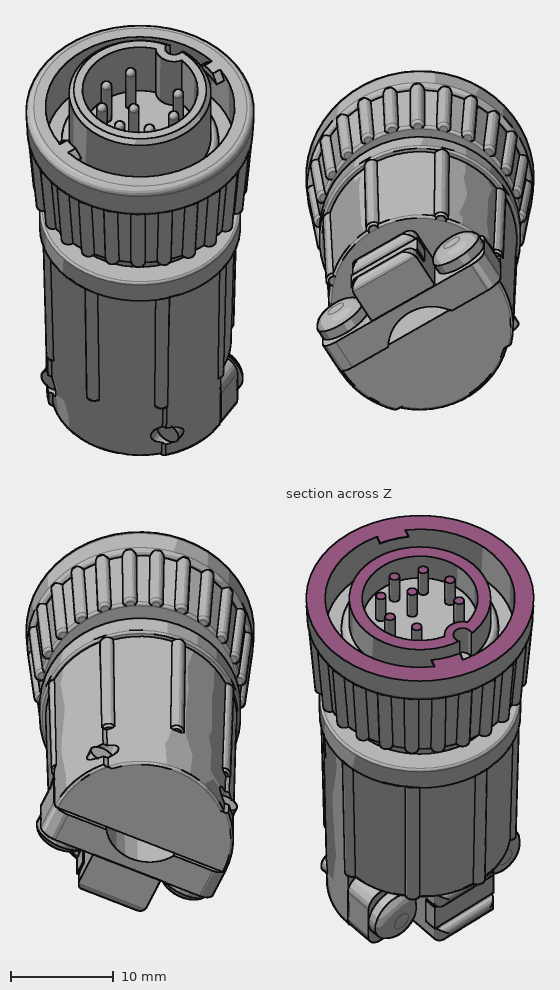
import cadquery as cq
import math

OVERLAP = 0.3

TOP_Z = 43.97
RING_TOP_Z = 41.5
RING_BAND_Z = 37.7
RING_BOTTOM_Z = 29.55
RING_FLOOR_Z = 36.2
SHOULDER_Z = 37.3
PIN_TIP_Z = TOP_Z - 1.15
SOCKET_FLOOR_Z = TOP_Z - 6.3
FLANGE_TOP_Z = 26.75
FLANGE_BOTTOM_Z = 24.05
RIB_END_Z = 7.65
BODY_BOTTOM_Z = 0.55

TUBE_R = 6.9
TUBE_CHAMFER = 0.45
SOCKET_R = 5.6
KEY_CENTER_Y = 6.4
KEY_GROOVE_R = 0.87
KEY_WALL_R = 1.78
PIN_R = 0.5
PIN_CIRCLE_R = 3.82
PIN_ANGLES = (0, 45, 135, 180, 225, 270, 315)
INNER_PIN_Y = -1.17
DIMPLE_R = 0.27
DIMPLE_X = 2.0
DIMPLE_Y = 4.33

RING_R = 11.13
RING_BAND_R = 10.95
RING_BOTTOM_R = 10.34
RING_FILLET = 0.72
BAND_FILLET = 0.55
RING_BORE_R = 9.2
GRIP_COUNT = 24
GRIP_R = 0.7
GRIP_HEIGHT = 0.6
GRIP_END_FILLET = 0.3
TAB_R = 8.3
TAB_THICKNESS = 0.8
TAB_START = 58.3
TAB_END = 76.7
TAB_RAMP = 5.0

NECK_R = 7.65
NECK_FILLET = 0.73
FLANGE_R = 9.78
FLANGE_FILLET = 0.24
BODY_TOP_R = 9.2
BODY_BOTTOM_R = 8.72
BODY_FILLET = 0.25
SADDLE_TOP_R = 9.42
SADDLE_BOTTOM_R = 9.07
SADDLE_FRONT_Y = -6.18
RIB_COUNT = 8
RIB_R = 0.75
RIB_TOP_R = 9.68
RIB_BOTTOM_R = 9.36
RIB_END_CHAMFER = 0.25

CLAMP_WIDTH = 18.4
CLAMP_HEIGHT = 6.85
CLAMP_CORNER_R = 1.5
CLAMP_DEPTH = 3.1
SCOOP_HALF_WIDTH = 3.6
SCOOP_DEPTH = 2.0
SCREW_X = 6.6
SCREW_Z = 3.5
SCREW_R = 1.2
SCREW_TIP_Y = -5.68
HEAD_R = 2.6
HEAD_HEIGHT = 1.85
HEAD_RIM = 1.0
HEAD_TOP_R = 0.9
PRESS_WIDTH = 7.2
PRESS_HEIGHT = 6.4
PRESS_Z = 3.3
PRESS_BACK_Y = 6.3
PRESS_CORNER_R = 1.1
LIP_R = 0.8
LIP_FILLET = 0.76
LIP_BACK_Y = 7.45
RIDGE_WIDTH = 7.5
RIDGE_HEIGHT = 3.0
RIDGE_FRONT_Y = 5.25
RIDGE_BACK_Y = 6.65


def disc(radius, z_low, z_high):
    return cq.Workplane("XY").workplane(offset=z_low).circle(radius).extrude(z_high - z_low)


def cone(low_radius, high_radius, z_low, z_high):
    profile = [(0, z_low), (low_radius, z_low), (high_radius, z_high), (0, z_high)]
    return cq.Workplane("XZ").polyline(profile).close().revolve(360, (0, 0, 0), (0, 1, 0))


def block(x_low, x_high, y_low, y_high, z_low, z_high):
    box = cq.Workplane("XY").box(x_high - x_low, y_high - y_low, z_high - z_low, centered=False)
    return box.translate((x_low, y_low, z_low))


def rod_along_y(radius, x, z, y_low, y_high):
    rod = cq.Solid.makeCylinder(radius, y_high - y_low, cq.Vector(x, y_low, z), cq.Vector(0, 1, 0))
    return cq.Workplane(obj=rod)


def leaning_rod(radius, low_distance, high_distance, z_low, z_high):
    """A round rod in the XZ plane that leans along a tapered surface."""
    start = cq.Vector(low_distance, 0, z_low)
    axis = cq.Vector(high_distance, 0, z_high) - start
    return cq.Workplane(obj=cq.Solid.makeCylinder(radius, axis.Length, start, axis))


def add_around(base, piece, count):
    for index in range(count):
        base = base.union(piece.rotate((0, 0, 0), (0, 0, 1), index * 360 / count))
    return base


def make_plug():
    """Keyed tube on the neck, with pins standing on the socket floor."""
    neck = disc(NECK_R, FLANGE_TOP_Z - OVERLAP, SHOULDER_Z)
    neck = neck.faces(">Z").edges().fillet(NECK_FILLET)
    tube = disc(TUBE_R, SHOULDER_Z - OVERLAP, TOP_Z).faces(">Z").edges().chamfer(TUBE_CHAMFER)
    plug = neck.union(tube)

    socket = disc(SOCKET_R, SOCKET_FLOOR_Z, TOP_Z)
    key_wall = disc(KEY_WALL_R, SOCKET_FLOOR_Z, TOP_Z).translate((0, KEY_CENTER_Y, 0))
    key_groove = disc(KEY_GROOVE_R, SHOULDER_Z, TOP_Z).translate((0, KEY_CENTER_Y, 0))
    plug = plug.cut(socket.cut(key_wall)).cut(key_groove)

    dimple = cq.Workplane("XY").sphere(DIMPLE_R).translate((DIMPLE_X, DIMPLE_Y, SOCKET_FLOOR_Z))
    plug = plug.cut(dimple)

    pin = disc(PIN_R, SOCKET_FLOOR_Z - OVERLAP, PIN_TIP_Z - PIN_R)
    pin = pin.union(cq.Workplane("XY").sphere(PIN_R).translate((0, 0, PIN_TIP_Z - PIN_R)))
    plug = plug.union(pin.translate((0, INNER_PIN_Y, 0)))
    for angle in PIN_ANGLES:
        placed = pin.translate((PIN_CIRCLE_R, 0, 0)).rotate((0, 0, 0), (0, 0, 1), angle)
        plug = plug.union(placed)
    return plug


def make_tab():
    """Bayonet tab inside the ring mouth, with a ramp at each end."""
    arc_length = RING_BORE_R * math.radians(TAB_END - TAB_START)
    ramp_length = RING_BORE_R * math.radians(TAB_RAMP)
    half = arc_length / 2
    low_z = RING_TOP_Z - TAB_THICKNESS
    outline = [
        (-half, low_z),
        (half, low_z),
        (half - ramp_length, RING_TOP_Z),
        (ramp_length - half, RING_TOP_Z),
    ]
    ramped = cq.Workplane("XZ").polyline(outline).close().extrude(-(RING_BORE_R + OVERLAP))
    band = disc(RING_BORE_R + OVERLAP, low_z, RING_TOP_Z).cut(disc(TAB_R, low_z, RING_TOP_Z))
    middle_angle = (TAB_START + TAB_END) / 2
    return band.intersect(ramped).rotate((0, 0, 0), (0, 0, 1), middle_angle - 90)


def make_ring():
    """Coupling ring: tapered band above a tapered grip, open at the top."""
    band = cone(RING_BAND_R, RING_R, RING_BAND_Z, RING_TOP_Z)
    band = band.faces(">Z").edges().fillet(RING_FILLET)
    band = band.faces("<Z").edges().fillet(BAND_FILLET)

    grip_low_r = RING_BOTTOM_R - GRIP_HEIGHT
    grip_high_r = RING_BAND_R - GRIP_HEIGHT
    core = cone(grip_low_r, grip_high_r, RING_BOTTOM_Z, RING_BAND_Z + OVERLAP)
    ring = band.union(core.faces("<Z").edges().fillet(GRIP_END_FILLET))
    grip = leaning_rod(
        GRIP_R, RING_BOTTOM_R - GRIP_R, RING_BAND_R - GRIP_R, RING_BOTTOM_Z, RING_BAND_Z + OVERLAP
    )
    grip = grip.faces("<Z").edges().fillet(GRIP_END_FILLET)
    ring = add_around(ring, grip, GRIP_COUNT)
    ring = ring.cut(disc(RING_BORE_R, RING_FLOOR_Z, RING_TOP_Z))
    return add_around(ring, make_tab(), 2)


def make_body():
    """Tapered, ribbed body with its lower rear half cut away for the clamp."""
    flange = disc(FLANGE_R, FLANGE_BOTTOM_Z, FLANGE_TOP_Z).edges().fillet(FLANGE_FILLET)
    joint_z = FLANGE_BOTTOM_Z + OVERLAP

    core = cone(BODY_BOTTOM_R, BODY_TOP_R, BODY_BOTTOM_Z, joint_z)
    core = core.faces("<Z").edges().fillet(BODY_FILLET)
    saddle = cone(SADDLE_BOTTOM_R, SADDLE_TOP_R, BODY_BOTTOM_Z, joint_z)
    saddle = saddle.faces("<Z").edges().fillet(BODY_FILLET)
    strip = block(-RING_R, RING_R, SADDLE_FRONT_Y, 0, BODY_BOTTOM_Z, joint_z)
    rear_space = block(-RING_R, RING_R, 0, RING_R, 0, joint_z)
    body = core.union(saddle.intersect(strip)).cut(rear_space)

    taper = (BODY_TOP_R - BODY_BOTTOM_R) / (joint_z - BODY_BOTTOM_Z)
    rear_low_r = BODY_BOTTOM_R + taper * (RIB_END_Z - BODY_BOTTOM_Z)
    rear = cone(rear_low_r, BODY_TOP_R, RIB_END_Z, joint_z)
    rear = rear.faces("<Z").edges().fillet(BODY_FILLET)
    body = body.union(rear.intersect(rear_space))

    rib = leaning_rod(RIB_R, RIB_BOTTOM_R - RIB_R, RIB_TOP_R - RIB_R, RIB_END_Z, joint_z)
    rib = rib.faces("<Z").edges().chamfer(RIB_END_CHAMFER)
    return add_around(body, rib, RIB_COUNT).union(flange)


def make_screw_head():
    """Domed screw head behind the clamp block."""
    bow = math.sqrt(0.5)
    dome_mid = (
        HEAD_TOP_R + (HEAD_R - HEAD_TOP_R) * bow,
        HEAD_RIM + (HEAD_HEIGHT - HEAD_RIM) * bow,
    )
    profile = (
        cq.Workplane("XY")
        .moveTo(0, -OVERLAP)
        .lineTo(HEAD_R, -OVERLAP)
        .lineTo(HEAD_R, HEAD_RIM)
        .threePointArc(dome_mid, (HEAD_TOP_R, HEAD_HEIGHT))
        .lineTo(0, HEAD_HEIGHT)
        .close()
    )
    return profile.revolve(360, (0, 0, 0), (0, 1, 0)).translate((0, CLAMP_DEPTH, SCREW_Z))


def make_press():
    """Cable press behind the clamp: two rounded lips with a cross ridge between them."""
    half_width = PRESS_WIDTH / 2
    half_height = PRESS_HEIGHT / 2
    front_y = CLAMP_DEPTH - OVERLAP
    press = block(-half_width, half_width, front_y, PRESS_BACK_Y, -half_height, half_height)
    for side in (-1, 1):
        lip_z = side * (half_height - LIP_R)
        lip = block(-half_width, half_width, front_y, LIP_BACK_Y, lip_z - LIP_R, lip_z + LIP_R)
        press = press.union(lip.edges("|X and >Y").fillet(LIP_FILLET))

    rounded = block(-half_width, half_width, front_y, LIP_BACK_Y, -half_height, half_height)
    rounded = rounded.edges("|Z and >Y").fillet(PRESS_CORNER_R)
    press = press.intersect(rounded)

    ridge_x = RIDGE_WIDTH / 2
    ridge_z = RIDGE_HEIGHT / 2
    ridge = block(-ridge_x, ridge_x, RIDGE_FRONT_Y, RIDGE_BACK_Y, -ridge_z, ridge_z)
    return press.union(ridge).translate((0, 0, PRESS_Z))


def make_clamp():
    """Clamp block scooped on its front, with screw heads and a cable press behind."""
    half_width = CLAMP_WIDTH / 2
    clamp = block(-half_width, half_width, 0, CLAMP_DEPTH, 0, CLAMP_HEIGHT)
    clamp = clamp.edges("|Y").fillet(CLAMP_CORNER_R)
    scoop_r = (SCOOP_HALF_WIDTH**2 + SCOOP_DEPTH**2) / (2 * SCOOP_DEPTH)
    clamp = clamp.cut(disc(scoop_r, 0, CLAMP_HEIGHT).translate((0, SCOOP_DEPTH - scoop_r, 0)))
    for side in (-1, 1):
        clamp = clamp.union(make_screw_head().translate((side * SCREW_X, 0, 0)))
    return clamp.union(make_press())


def add_screw_tips(part):
    """Flat screw tips: sunk on their inner side, proud on their outer side."""
    for side in (-1, 1):
        x = side * SCREW_X
        part = part.cut(rod_along_y(SCREW_R, x, SCREW_Z, -RING_R, SCREW_TIP_Y))
        part = part.union(rod_along_y(SCREW_R, x, SCREW_Z, SCREW_TIP_Y, 0))
    return part


result = make_plug().union(make_ring()).union(make_body()).union(make_clamp())
result = add_screw_tips(result)